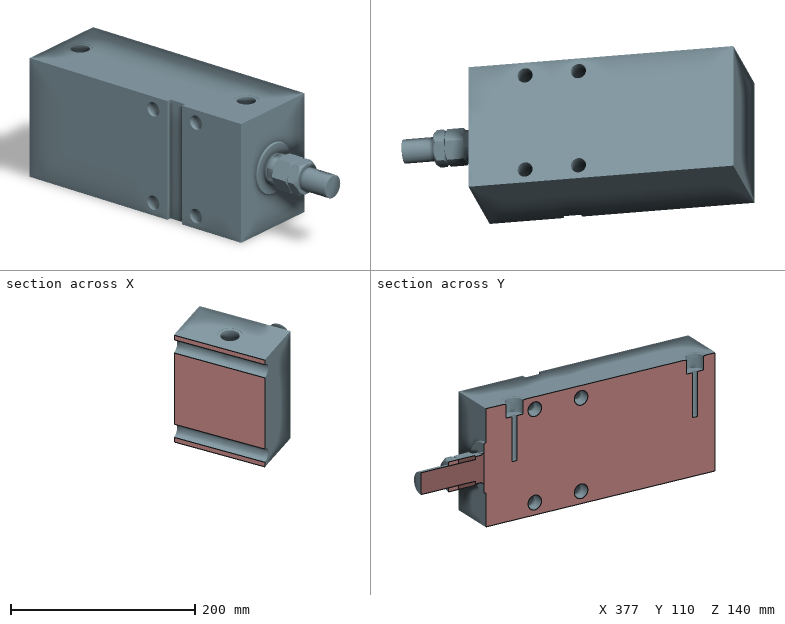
import cadquery as cq
import math

block_length = 293.5
block_depth = 110.0
block_height = 140.0

collar_diameter = 60.0
collar_thickness = 2.3
collar_chamfer = 1.0

keyway_x = 201.5
keyway_width = 20.5
keyway_depth = 5.3
bolt_diameter = 16.5
bolt_spacing_x = 59.2
bolt_spacing_z = 110.0

port_x_positions = (26.0, 256.7)
port_seat_diameter = 28.0
port_seat_depth = 0.5
port_diameter = 21.0
port_depth = 17.0
passage_diameter = 5.5
passage_depth = block_height / 2

overall_length = 377.0
shank_diameter = 36.0
shank_start = block_length + collar_thickness
shank_length = 11.0
flats_length = 8.0
across_rod_flats = 32.8
stud_diameter = 26.5
stud_chamfer = 0.5

across_nut_flats = 36.0
nut_length = 22.0
lock_nut_length = 13.0
nut_face_diameter = 34.5
nut_chamfer_angle = 30.0
end_chamfer_angle = 45.0

nut_start = shank_start + shank_length
lock_nut_start = nut_start + nut_length


def disc_along_x(start, length, diameter):
    """Solid cylinder about the X axis."""
    return cq.Workplane("YZ", origin=(start, 0, 0)).circle(diameter / 2).extrude(length)


def make_housing():
    block = cq.Workplane("XY").box(block_length, block_depth, block_height).translate((block_length / 2, 0, 0))
    collar = disc_along_x(block_length, collar_thickness, collar_diameter)
    collar = collar.faces(">X").edges().chamfer(collar_chamfer)

    keyway = cq.Workplane("XY").box(keyway_width, 2 * keyway_depth, block_height)
    keyway = keyway.translate((keyway_x, -block_depth / 2, 0))

    bolt_holes = (
        cq.Workplane("XZ", origin=(keyway_x, 0, 0))
        .rarray(bolt_spacing_x, bolt_spacing_z, 2, 2)
        .circle(bolt_diameter / 2)
        .extrude(block_depth / 2, both=True)
    )

    body = block.union(collar).cut(keyway).cut(bolt_holes)
    port_steps = (
        (port_seat_diameter, port_seat_depth),
        (port_diameter, port_depth),
        (passage_diameter, passage_depth),
    )
    for port_x in port_x_positions:
        for diameter, depth in port_steps:
            top = cq.Workplane("XY", origin=(port_x, 0, block_height / 2))
            body = body.cut(top.circle(diameter / 2).extrude(-depth))
    return body


def make_rod():
    shank = disc_along_x(shank_start, shank_length, shank_diameter)
    flats_start = nut_start - flats_length
    square = (
        cq.Workplane("YZ", origin=(flats_start, 0, 0))
        .rect(across_rod_flats, across_rod_flats)
        .extrude(flats_length)
    )
    full_round = disc_along_x(shank_start, shank_length - flats_length, shank_diameter)
    shank = shank.intersect(square.union(full_round))

    stud = disc_along_x(nut_start, overall_length - nut_start, stud_diameter)
    stud = stud.faces(">X").edges().chamfer(stud_chamfer)
    return shank.union(stud)


def make_nut(start, length, outer_chamfer_angle):
    """Hexagon nut with a flat on top and both ends turned to a cone; the outer end faces +X."""
    across_corners = across_nut_flats / math.cos(math.pi / 6)
    face_radius = nut_face_diameter / 2
    corner_radius = across_corners / 2
    cone_rise = corner_radius - face_radius
    inner_cone_length = cone_rise * math.tan(math.radians(nut_chamfer_angle))
    outer_cone_length = cone_rise * math.tan(math.radians(outer_chamfer_angle))
    end = start + length

    hexagon = cq.Workplane("YZ", origin=(start, 0, 0)).polygon(6, across_corners).extrude(length)
    turned_blank = (
        cq.Workplane("XY")
        .moveTo(start, 0)
        .lineTo(start, face_radius)
        .lineTo(start + inner_cone_length, corner_radius)
        .lineTo(end - outer_cone_length, corner_radius)
        .lineTo(end, face_radius)
        .lineTo(end, 0)
        .close()
        .revolve(360, (0, 0, 0), (1, 0, 0))
    )
    return hexagon.intersect(turned_blank).cut(disc_along_x(start, length, stud_diameter))


housing = make_housing()
rod = make_rod()
nut = make_nut(nut_start, nut_length, nut_chamfer_angle)
lock_nut = make_nut(lock_nut_start, lock_nut_length, end_chamfer_angle)

result = cq.Compound.makeCompound([housing.val(), rod.val(), nut.val(), lock_nut.val()])